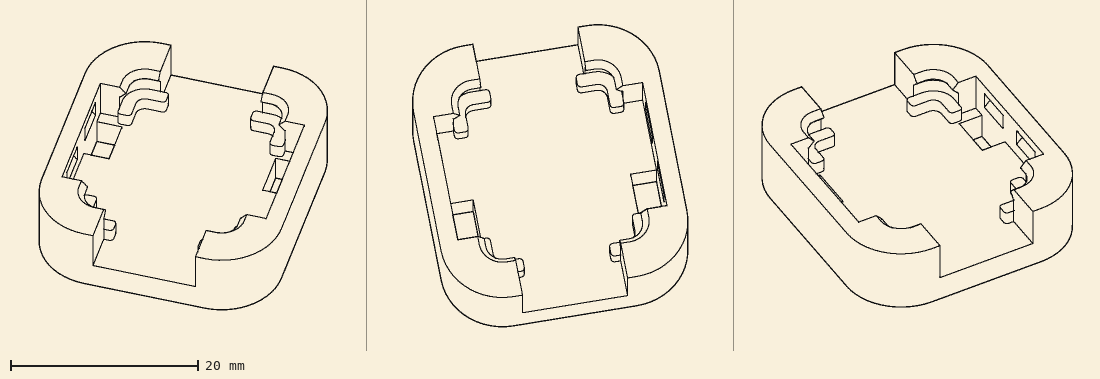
import cadquery as cq
import math

length_x = 26.7
length_y = 30.0
height = 7.5
floor_top = 3.0
corner_radius = 6.65
corner_x = length_x / 2 - corner_radius
corner_y = length_y / 2 - corner_radius

cavity_radius = 2.5
cavity_x = 2 * (corner_x + cavity_radius)
cavity_y = 2 * (corner_y + cavity_radius)
wall_thickness = 2.0
opening_setback = 1.0
slot_width = 2 * (corner_x - opening_setback)
pocket_x = length_x - 2 * wall_thickness
pocket_y = 2 * (corner_y - opening_setback)

lip_depth = 0.7
lip_half_height = 0.75
lip_angle = math.degrees(math.atan2(lip_depth, lip_half_height))

ledge_top = 4.5
ledge_thickness = 1.5
ledge_setback = 2.0
ledge_end_radius = 0.4

window_width = 2.8
window_length = 5.0
groove_length = 4.0
groove_depth = 0.95
groove_centre_z = 5.45
snap_y = 3.5


def rounded_block(size_x, size_y, radius, bottom, top):
    block = cq.Workplane("XY").box(size_x, size_y, top - bottom, centered=(True, True, False))
    return block.edges("|Z").fillet(radius).translate((0, 0, bottom))


def plain_block(size_x, size_y, bottom, top):
    block = cq.Workplane("XY").box(size_x, size_y, top - bottom, centered=(True, True, False))
    return block.translate((0, 0, bottom))


def body():
    return rounded_block(length_x, length_y, corner_radius, 0, height)


def lip_half(start_z, direction):
    """Tapered cavity slice from the full outline at start_z, up (1) or down (-1) to the lip tip."""
    outline = cq.Sketch().rect(cavity_x, cavity_y).vertices().fillet(cavity_radius)
    plane = cq.Workplane("XY").workplane(offset=start_z)
    return plane.placeSketch(outline).extrude(direction * lip_half_height, taper=lip_angle)


def cavity():
    lip_bottom = height - 2 * lip_half_height
    void = rounded_block(cavity_x, cavity_y, cavity_radius, floor_top, lip_bottom)
    void = void.union(lip_half(lip_bottom, 1))
    void = void.union(lip_half(height, -1))
    void = void.union(plain_block(slot_width, length_y, floor_top, height))
    return void.union(plain_block(pocket_x, pocket_y, floor_top, height))


def edges_within(size_x, size_y):
    """Selector for edges whose centre lies in a centred rectangle, at any height of the part."""
    return cq.selectors.BoxSelector((-size_x / 2, -size_y / 2, 0), (size_x / 2, size_y / 2, height))


def ledges():
    inner_radius = cavity_radius - ledge_thickness
    inner_x = cavity_x - 2 * ledge_thickness
    inner_y = cavity_y - 2 * ledge_thickness
    ring = rounded_block(cavity_x, cavity_y, cavity_radius, floor_top, ledge_top)
    ring = ring.cut(rounded_block(inner_x, inner_y, inner_radius, floor_top, ledge_top))
    gap_x = 2 * (corner_x - ledge_setback)
    gap_y = 2 * (corner_y - ledge_setback)
    ring = ring.cut(plain_block(gap_x, cavity_y, floor_top, ledge_top))
    ring = ring.cut(plain_block(cavity_x, gap_y, floor_top, ledge_top))
    margin = 0.1
    slot_ends = edges_within(gap_x + margin, length_y)
    pocket_ends = edges_within(length_x, gap_y + margin)
    return ring.edges("|Z").edges(slot_ends + pocket_ends).fillet(ledge_end_radius)


def window(side):
    centre_x = side * (pocket_x - window_width) / 2
    return plain_block(window_width, window_length, 0, floor_top).translate((centre_x, snap_y, 0))


def groove(side, centre_y):
    wall_x = side * pocket_x / 2
    profile = [
        (wall_x, groove_centre_z - groove_depth),
        (wall_x + side * groove_depth, groove_centre_z),
        (wall_x, groove_centre_z + groove_depth),
    ]
    prism = cq.Workplane("XZ").polyline(profile).close().extrude(groove_length / 2, both=True)
    return prism.translate((0, centre_y, 0))


result = body().cut(cavity()).union(ledges())
for side in (-1, 1):
    result = result.cut(window(side))
    for centre_y in (-snap_y, snap_y):
        result = result.cut(groove(side, centre_y))